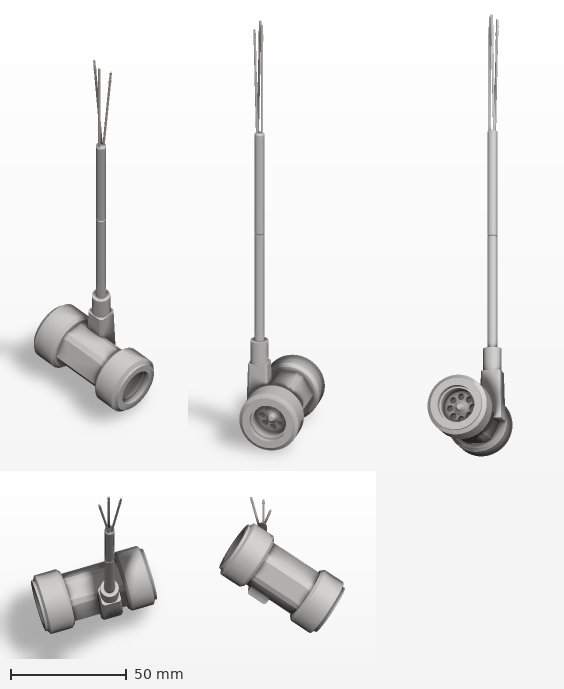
import cadquery as cq
import math

housing_length = 50.2
spigot_diameter = 22.8
collar_diameter = 26.5
collar_outer_x = 24.2
collar_length = 12.0
collar_outer_bevel = 1.0
collar_inner_chamfer = 1.3

hex_across_flats = 19.2
hex_corner_chamfer = 1.5
hex_side_chamfer = 0.29

mouth_diameter = 16.5
mouth_depth = 2.9
bore_diameter = 15.0
bore_depth = 9.1

hub_diameter = 6.8
hub_step_diameter = 4.4
hub_tip_diameter = 2.3
hub_cone_length = 1.1
hub_nose_length = 2.3
flow_hole_diameter = 2.9
flow_hole_depth = 2.9
flow_hole_count = 8
flow_hole_circle = 9.9

sensor_x = -4.4
sensor_y = 9.0
block_bottom_z = -1.5
block_top_z = 19.8
block_top_width = 8.5
block_bottom_width = 9.7
block_corner_chamfer = 1.0
sleeve_diameter = 8.0
sleeve_top_z = 30.0

cable_diameter = 4.4
cable_joint_z = 79.5
cable_top_z = 126.7
cable_end_chamfer = 0.5

wire_diameter = 1.0
wire_circle_radius = 1.1
wire_root_depth = 1.9
wire_lean = 5.0
ferrule_diameter = 1.1
ferrule_length = 2.9
bare_tip_diameter = 1.0
bare_tip_length = 4.5

overall_height = 190.2
wire_length = overall_height - collar_diameter / 2 - cable_top_z

wire_layout = [(-90, 0), (55, wire_lean), (125, -wire_lean)]


def cylinder_x(diameter, start_x, end_x):
    plane = cq.Workplane("YZ", origin=(start_x, 0, 0))
    return plane.circle(diameter / 2).extrude(end_x - start_x)


def cylinder_z(diameter, bottom_z, top_z):
    plane = cq.Workplane("XY", origin=(sensor_x, sensor_y, bottom_z))
    return plane.circle(diameter / 2).extrude(top_z - bottom_z)


def make_hex_barrel():
    """Hexagonal middle, with corners towards +Y and -Y that are chamfered less than the other four."""
    half_length = collar_outer_x - collar_length / 2
    corner_diameter = hex_across_flats / math.cos(math.radians(30))
    plane = cq.Workplane("YZ", origin=(-half_length, 0, 0))
    barrel = plane.polygon(6, corner_diameter).extrude(2 * half_length)
    barrel = barrel.edges("|X").edges(">Y or <Y").chamfer(hex_side_chamfer)
    return barrel.faces(">Z or <Z").edges("|X").chamfer(hex_corner_chamfer)


def make_end():
    """Collar and spigot at the +X end, as one turned profile."""
    inner_x = collar_outer_x - collar_length
    collar_radius = collar_diameter / 2
    spigot_radius = spigot_diameter / 2
    profile = [
        (inner_x, 0),
        (inner_x, collar_radius - collar_inner_chamfer),
        (inner_x + collar_inner_chamfer, collar_radius),
        (collar_outer_x - collar_outer_bevel, collar_radius),
        (collar_outer_x, spigot_radius),
        (housing_length / 2, spigot_radius),
        (housing_length / 2, 0),
    ]
    return cq.Workplane("XY").polyline(profile).close().revolve(360, (0, 0, 0), (1, 0, 0))


def make_bore():
    """Space to cut from the +X end: mouth, bore and flow holes, leaving the hub standing."""
    end_x = housing_length / 2
    plate_x = end_x - bore_depth
    bore = cylinder_x(bore_diameter, plate_x, end_x)
    bore = bore.union(cylinder_x(mouth_diameter, end_x - mouth_depth, end_x))
    holes = (
        cq.Workplane("YZ", origin=(plate_x - flow_hole_depth, 0, 0))
        .polarArray(flow_hole_circle / 2, 0, 360, flow_hole_count)
        .circle(flow_hole_diameter / 2)
        .extrude(flow_hole_depth)
    )
    tip_x = plate_x + hub_cone_length + hub_nose_length
    hub_profile = [
        (plate_x, 0),
        (plate_x, hub_diameter / 2),
        (plate_x + hub_cone_length, hub_step_diameter / 2),
        (tip_x, hub_tip_diameter / 2),
        (tip_x, 0),
    ]
    hub = cq.Workplane("XY").polyline(hub_profile).close().revolve(360, (0, 0, 0), (1, 0, 0))
    return bore.union(holes).cut(hub)


def make_block():
    """Upright sensor block, slightly wider at its foot, with chamfered upright edges."""
    block = (
        cq.Workplane("XY", origin=(sensor_x, sensor_y, block_bottom_z))
        .rect(block_bottom_width, block_bottom_width)
        .workplane(offset=block_top_z - block_bottom_z)
        .rect(block_top_width, block_top_width)
        .loft(ruled=True)
    )
    return block.edges("not(|X or |Y)").chamfer(block_corner_chamfer)


def make_housing():
    end = make_end()
    bore = make_bore()
    housing = make_hex_barrel().union(end).union(end.mirror("YZ"))
    housing = housing.union(make_block())
    housing = housing.cut(bore).cut(bore.mirror("YZ"))
    housing = housing.union(cylinder_z(sleeve_diameter, block_top_z, sleeve_top_z))
    return housing.union(cylinder_z(cable_diameter, sleeve_top_z, cable_joint_z))


def make_wire(direction, lean):
    """One wire with a ferrule near its end, turned about the point where it leaves the cable."""
    angle = math.radians(direction)
    exit_x = sensor_x + wire_circle_radius * math.cos(angle)
    exit_y = sensor_y + wire_circle_radius * math.sin(angle)
    ferrule_z = wire_length - bare_tip_length - ferrule_length
    wire = cq.Workplane("XY", origin=(0, 0, -wire_root_depth)).circle(wire_diameter / 2)
    wire = wire.extrude(wire_root_depth + ferrule_z)
    tip = cq.Workplane("XY", origin=(0, 0, ferrule_z)).circle(bare_tip_diameter / 2)
    wire = wire.union(tip.extrude(ferrule_length + bare_tip_length))
    ferrule = cq.Workplane("XY", origin=(0, 0, ferrule_z)).circle(ferrule_diameter / 2)
    wire = wire.union(ferrule.extrude(ferrule_length))
    wire = wire.rotate((0, 0, 0), (0, 1, 0), lean)
    return wire.translate((exit_x, exit_y, cable_top_z))


def make_upper_cable():
    cable = cylinder_z(cable_diameter, cable_joint_z, cable_top_z)
    cable = cable.faces("<Z or >Z").chamfer(cable_end_chamfer)
    for direction, lean in wire_layout:
        cable = cable.union(make_wire(direction, lean))
    return cable


housing = make_housing()
upper_cable = make_upper_cable()
result = cq.Compound.makeCompound([housing.val(), upper_cable.val()])